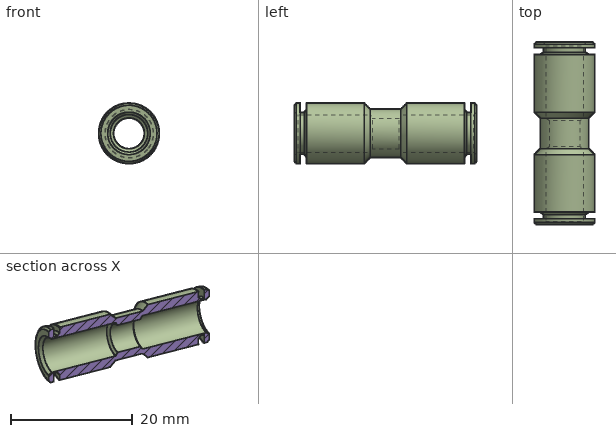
import cadquery as cq


half_length = 30 / 2
outer_radius = 10.0 / 2
flange_thickness = 1.0
flange_chamfer = 0.4
neck_radius = 6.9 / 2
neck_length = 0.65
flare_length = 0.35
flare_rise = 0.48
body_edge_chamfer = 0.1
waist_radius = 8.0 / 2
waist_half_length = 5.0 / 2
shoulder_length = outer_radius - waist_radius

mouth_radius = 7.0 / 2
mouth_depth = 0.6
tube_radius = 6.15 / 2
through_radius = 5.0 / 2
seat_cone_length = 0.35

flange_inner = half_length - flange_thickness
flare_start = flange_inner - neck_length
body_end = flare_start - flare_length
tube_seat = waist_half_length

outside_profile = [
    (waist_radius, waist_half_length),
    (outer_radius, waist_half_length + shoulder_length),
    (outer_radius, body_end - body_edge_chamfer),
    (outer_radius - body_edge_chamfer, body_end),
    (neck_radius + flare_rise, body_end),
    (neck_radius, flare_start),
    (neck_radius, flange_inner),
    (outer_radius, flange_inner),
    (outer_radius, half_length - flange_chamfer),
    (outer_radius - flange_chamfer, half_length),
    (0, half_length),
]

bore_profile = [
    (through_radius, tube_seat - seat_cone_length),
    (tube_radius, tube_seat),
    (tube_radius, half_length - mouth_depth),
    (mouth_radius, half_length),
    (0, half_length),
]


def revolve_symmetric(half_profile):
    """Mirror a half profile about the mid plane and revolve it about the Y axis."""
    mirrored = [(radius, -position) for radius, position in reversed(half_profile)]
    outline = cq.Workplane("XY").polyline(mirrored + half_profile).close()
    return outline.revolve(360, (0, 0, 0), (0, 1, 0))


result = revolve_symmetric(outside_profile).cut(revolve_symmetric(bore_profile))